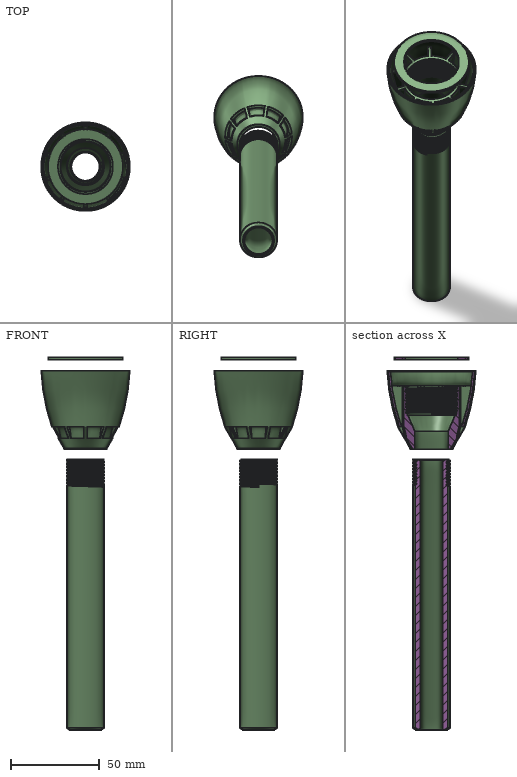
import cadquery as cq

overall_height = 209.97
pipe_length = 152.4
cup_gap = 5.6
cup_height = 44.4
cup_bottom = pipe_length + cup_gap
cup_top = cup_bottom + cup_height

groove_half_width_ratio = 0.36
groove_overlap = 0.1

pipe_radius = 10.5
pipe_bore_radius = 7.9
pipe_top_chamfer = 0.6
pipe_bottom_chamfer_height = 1.3
pipe_bottom_chamfer_width = 1.7
pipe_thread_length = 15.0
pipe_thread_pitch = 1.814
pipe_thread_depth = 0.9

rim_radius = 25.005
belly_radius = 22.5
belly_depth = 18.8
cone_top_radius = 18.9
cone_top_depth = 31.7
foot_radius = 12.0
foot_height = 0.6
shell_thickness = 1.5
rim_lip = 0.8
rim_chamfer = rim_lip * 0.875

hub_depth = 8.6
hub_outer_radius = 16.4
hub_bore_radius = 14.3
hub_thread_end_depth = 25.0
hub_thread_pitch = 1.6
hub_thread_depth = 0.9
hub_thread_end_margin = 0.25 * hub_thread_pitch
funnel_start_radius = 14.0
socket_radius = pipe_radius
socket_top_depth = 34.0
channel_floor_depth = 38.0
hub_taper_depth = 31.5
hub_foot_radius = 15.0
channel_mouth_radius = 22.0

rib_count = 10
rib_width = 1.8
first_rib_angle = 18.0

washer_outer_radius = 21.1
washer_inner_radius = 15.5
washer_thickness = 1.5


def helical_groove(surface_radius, depth, pitch, start_z, length, outward):
    """V-shaped cutter that follows a left-hand helix, biting into a cylinder wall."""
    direction = 1 if outward else -1
    base_radius = surface_radius - direction * groove_overlap
    half_width = groove_half_width_ratio * pitch * (depth + groove_overlap) / depth
    profile = (
        cq.Workplane("XZ", origin=(0, 0, start_z))
        .moveTo(base_radius, -half_width)
        .lineTo(surface_radius + direction * depth, 0)
        .lineTo(base_radius, half_width)
        .close()
    )
    start_centre = cq.Vector(0, 0, start_z)
    path = cq.Wire.makeHelix(pitch, length, surface_radius, center=start_centre, lefthand=True)
    return profile.sweep(cq.Workplane(obj=path), isFrenet=True)


def make_pipe():
    body = cq.Workplane("XY").circle(pipe_radius).extrude(pipe_length)
    body = body.faces("<Z").chamfer(pipe_bottom_chamfer_height, pipe_bottom_chamfer_width)
    body = body.cut(cq.Workplane("XY").circle(pipe_bore_radius).extrude(pipe_length))
    inner_rim = cq.selectors.RadiusNthSelector(0)
    body = body.faces(">Z").edges(inner_rim).chamfer(pipe_top_chamfer)
    groove = helical_groove(
        pipe_radius, pipe_thread_depth, pipe_thread_pitch,
        pipe_length - pipe_thread_length, pipe_thread_length + pipe_thread_pitch, outward=False,
    )
    return body.cut(groove)


def depth_z(depth):
    """Height of a point measured down from the cup rim."""
    return cup_top - depth


def revolve_outline(sketch):
    return sketch.close().revolve(360, (0, 0, 0), (0, 1, 0))


def cup_envelope():
    return revolve_outline(
        cq.Workplane("XZ")
        .moveTo(0, cup_top)
        .lineTo(rim_radius, cup_top)
        .threePointArc((belly_radius, depth_z(belly_depth)), (cone_top_radius, depth_z(cone_top_depth)))
        .lineTo(foot_radius, cup_bottom + foot_height)
        .lineTo(foot_radius, cup_bottom)
        .lineTo(0, cup_bottom)
    )


def shell_cavity():
    """Space inside the shell, whose lower end opens through the cone as the outlet windows."""
    return revolve_outline(
        cq.Workplane("XZ")
        .moveTo(0, cup_top)
        .lineTo(rim_radius - rim_lip, cup_top)
        .lineTo(rim_radius - shell_thickness, depth_z(rim_chamfer))
        .threePointArc(
            (belly_radius - shell_thickness, depth_z(belly_depth)),
            (cone_top_radius - shell_thickness, depth_z(cone_top_depth)),
        )
        .lineTo(channel_mouth_radius, depth_z(cone_top_depth))
        .lineTo(channel_mouth_radius, depth_z(channel_floor_depth))
        .lineTo(0, depth_z(channel_floor_depth))
    )


def hub_body():
    return revolve_outline(
        cq.Workplane("XZ")
        .moveTo(0, depth_z(hub_depth))
        .lineTo(hub_outer_radius, depth_z(hub_depth))
        .lineTo(hub_outer_radius, depth_z(hub_taper_depth))
        .lineTo(hub_foot_radius, depth_z(channel_floor_depth))
        .lineTo(0, depth_z(channel_floor_depth))
    )


def rib_bars():
    ribs = cq.Workplane("XY")
    for index in range(rib_count):
        bar = (
            cq.Workplane("XY", origin=(0, 0, depth_z(channel_floor_depth)))
            .center(rim_radius / 2, 0)
            .rect(rim_radius, rib_width)
            .extrude(channel_floor_depth - hub_depth)
            .rotate((0, 0, 0), (0, 0, 1), first_rib_angle + index * 360 / rib_count)
        )
        ribs = ribs.add(bar)
    return ribs.combine()


def hub_bore():
    """Threaded bore, funnel and the socket for the pipe end."""
    return revolve_outline(
        cq.Workplane("XZ")
        .moveTo(0, depth_z(hub_depth))
        .lineTo(hub_bore_radius, depth_z(hub_depth))
        .lineTo(hub_bore_radius, depth_z(hub_thread_end_depth))
        .lineTo(funnel_start_radius, depth_z(hub_thread_end_depth))
        .lineTo(socket_radius, depth_z(socket_top_depth))
        .lineTo(socket_radius, cup_bottom)
        .lineTo(0, cup_bottom)
    )


def hub_thread_groove():
    return helical_groove(
        hub_bore_radius, hub_thread_depth, hub_thread_pitch,
        depth_z(hub_thread_end_depth) + hub_thread_end_margin,
        hub_thread_end_depth - hub_depth - 2 * hub_thread_end_margin, outward=True,
    )


def make_cup():
    envelope = cup_envelope()
    bore = hub_bore()
    hub = hub_body().cut(bore).cut(hub_thread_groove())
    ribs = rib_bars().cut(hub_body()).intersect(envelope)
    shell = envelope.cut(shell_cavity()).cut(bore)
    return shell.union(ribs).union(hub)


def make_washer():
    return (
        cq.Workplane("XY", origin=(0, 0, overall_height - washer_thickness))
        .circle(washer_outer_radius)
        .circle(washer_inner_radius)
        .extrude(washer_thickness)
    )


pipe = make_pipe()
cup = make_cup()
washer = make_washer()

result = cq.Compound.makeCompound([pipe.val(), cup.val(), washer.val()])